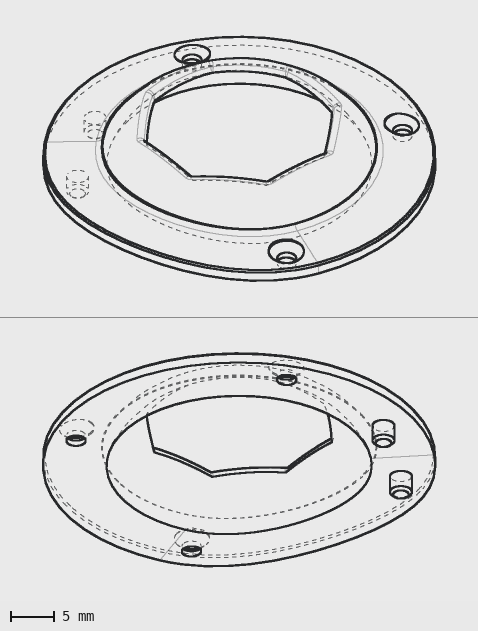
import cadquery as cq
import math

rim_radius = 22.35
rim_height = 1.15
rim_chamfer = 0.22
flange_inner_radius = 14.55
cavity_radius = 15.1
foot_radius = 16.4
foot_height = 1.95
foot_blend_run = 0.7
foot_blend_rise = 0.5
foot_blend_sag = 0.1

arch_center_angle = -55.0
arch_half_width = 60.0
arch_rim_lift = 1.5
arch_foot_lift = 0.8
arch_steps = 12

dome_base_height = 1.0
dome_base = (16.35, dome_base_height)
dome_middle = (13.78, 4.65)
dome_top = (8.95, 7.5)
shell_thickness = 1.45

pattern_angle = -2.6
opening_sides = 8
opening_corner_radius = 10.82
opening_corner_fillet = 0.65
opening_base_height = 4.7
opening_flare = 22.0
lip_fillet = 0.6
lip_lowest_height = 5.55

hole_circle_radius = 19.35
hole_diameter = 2.2
countersink_diameter = 4.1
hole_angles = [pattern_angle + quarter * 90 for quarter in range(3)]

pin_circle_radius = 18.6
pin_diameter = 2.5
pin_length = 2.33
pin_chamfer = 0.35
pin_root = 0.9
pin_angles = (223.3, 258.7)

above_part = 8.95


def polar(radius, angle):
    turn = math.radians(angle)
    return radius * math.cos(turn), radius * math.sin(turn)


def arch_lift(radius, angle):
    """Rise of the flange: a cosine wave around the rim, varying linearly with radius."""
    offset = min(abs(angle - arch_center_angle) / arch_half_width, 1.0)
    wave = (1 + math.cos(math.pi * offset)) / 2
    outward = (radius - foot_radius) / (rim_radius - foot_radius)
    return wave * (arch_foot_lift + (arch_rim_lift - arch_foot_lift) * outward)


def flange_section(angle):
    """Closed radial section of the flange at one angle."""
    def point(radius, height):
        x, y = polar(radius, angle)
        return cq.Vector(x, y, height + arch_lift(radius, angle))

    blend_radius = foot_radius - foot_blend_run
    blend_height = foot_height + foot_blend_rise
    inner_bottom = point(flange_inner_radius, 0)
    rim_bottom = point(rim_radius, 0)
    rim_top = point(rim_radius, rim_height)
    chamfer_top = point(rim_radius - rim_chamfer, rim_height + rim_chamfer)
    foot = point(foot_radius, foot_height)
    blend_middle = point(
        foot_radius - foot_blend_run / 2 - foot_blend_sag,
        foot_height + foot_blend_rise / 2 - foot_blend_sag,
    )
    blend_top = point(blend_radius, blend_height)
    inner_top = point(flange_inner_radius, foot_height)
    return cq.Wire.assembleEdges([
        cq.Edge.makeLine(inner_bottom, rim_bottom),
        cq.Edge.makeLine(rim_bottom, rim_top),
        cq.Edge.makeLine(rim_top, chamfer_top),
        cq.Edge.makeLine(chamfer_top, foot),
        cq.Edge.makeThreePointArc(foot, blend_middle, blend_top),
        cq.Edge.makeLine(blend_top, inner_top),
        cq.Edge.makeLine(inner_top, inner_bottom),
    ])


def make_flange():
    arch_start = arch_center_angle - arch_half_width
    arch_end = arch_center_angle + arch_half_width
    step = (arch_end - arch_start) / arch_steps
    sections = [flange_section(arch_start + i * step) for i in range(arch_steps + 1)]
    arch = cq.Solid.makeLoft(sections)
    plain = cq.Solid.revolve(
        sections[-1], [], 360 - 2 * arch_half_width, cq.Vector(0, 0, 0), cq.Vector(0, 0, 1)
    )
    return cq.Workplane(plain).union(cq.Workplane(arch))


def make_dome():
    """Solid dome with the flared octagonal opening and its rounded lip."""
    outside = (
        cq.Workplane("XZ")
        .moveTo(0, dome_base_height)
        .lineTo(*dome_base)
        .threePointArc(dome_middle, dome_top)
        .lineTo(0, dome_top[1])
        .close()
        .revolve(360, (0, 0), (0, 1))
    )
    opening = (
        cq.Workplane("XY", origin=(0, 0, opening_base_height))
        .polygon(opening_sides, 2 * opening_corner_radius)
        .extrude(above_part - opening_base_height, taper=-opening_flare)
        .edges("not #Z")
        .fillet(opening_corner_fillet)
        .rotate((0, 0, 0), (0, 0, 1), pattern_angle)
    )
    lip_zone = cq.selectors.BoxSelector(
        (-dome_middle[0], -dome_middle[0], lip_lowest_height),
        (dome_middle[0], dome_middle[0], above_part),
    )
    return outside.cut(opening).edges(lip_zone).fillet(lip_fillet)


def make_cavity():
    """Revolved hollow under the dome, open at the bottom."""
    ceiling = dome_top[1] - shell_thickness
    slope = math.atan2(dome_top[1] - dome_base[1], dome_base[0] - dome_top[0])
    middle = (
        dome_middle[0] - shell_thickness * math.sin(slope),
        dome_middle[1] - shell_thickness * math.cos(slope),
    )
    return (
        cq.Workplane("XZ")
        .lineTo(cavity_radius, 0)
        .threePointArc(middle, (dome_top[0], ceiling))
        .lineTo(0, ceiling)
        .close()
        .revolve(360, (0, 0), (0, 1))
    )


def make_screw_hole(angle):
    """Through hole with a 90 degree countersink from the flange surface."""
    surface_height = foot_height + (rim_height + rim_chamfer - foot_height) * (
        (hole_circle_radius - foot_radius) / (rim_radius - rim_chamfer - foot_radius)
    )
    surface_height += arch_lift(hole_circle_radius, angle)
    hole_radius = hole_diameter / 2
    mouth_radius = countersink_diameter / 2
    x, y = polar(hole_circle_radius, angle)
    return (
        cq.Workplane("XZ")
        .lineTo(hole_radius, 0)
        .lineTo(hole_radius, surface_height - (mouth_radius - hole_radius))
        .lineTo(mouth_radius, surface_height)
        .lineTo(mouth_radius, above_part)
        .lineTo(0, above_part)
        .close()
        .revolve(360, (0, 0), (0, 1))
        .translate((x, y, 0))
    )


def make_pin(angle):
    return (
        cq.Workplane("XY", origin=(0, 0, -pin_length))
        .center(*polar(pin_circle_radius, angle))
        .circle(pin_diameter / 2)
        .extrude(pin_length + pin_root)
        .faces("<Z")
        .chamfer(pin_chamfer)
    )


result = make_flange().union(make_dome()).cut(make_cavity())
for hole_angle in hole_angles:
    result = result.cut(make_screw_hole(hole_angle))
for pin_angle in pin_angles:
    result = result.union(make_pin(pin_angle))